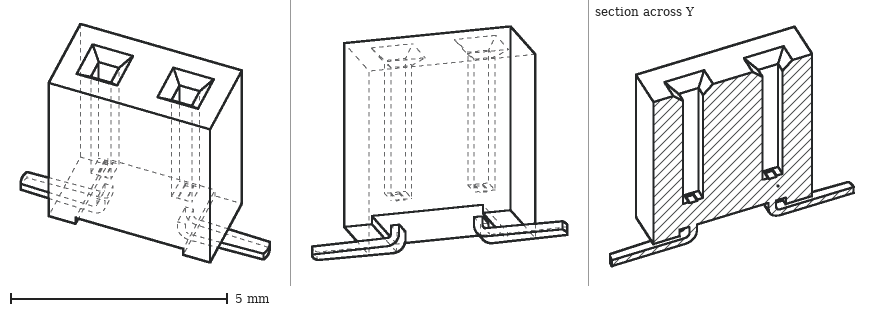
import cadquery as cq


overall_length = 6.1
overall_height = 4.8
pitch = 2.0
housing_length = 2 * pitch
housing_width = pitch
standoff = 0.3
housing_height = overall_height - standoff
foot_length = housing_length / 6
foot_height = 0.2
recess_length = housing_length - 2 * foot_length
recess_ceiling = standoff + foot_height

pocket_mouth = pitch / 2
pocket_size = pitch / 4
lead_in_depth = (pocket_mouth - pocket_size) / 2
pocket_depth = 3.5

lead_thickness = 0.2
lead_width = pocket_size
tip_width = 0.4
tip_radius = 0.5
tip_bulge = tip_radius - (tip_radius**2 - (tip_width / 2) ** 2) ** 0.5
inner_bend_radius = 0.1
outer_bend_radius = inner_bend_radius + lead_thickness
lead_end_x = overall_length / 2
lead_embed = 0.305

cup_depth = 0.035
cup_floor_length = pocket_size - 2 * cup_depth


def make_housing():
    """Block with a recess across its underside that leaves a foot at each end."""
    block = (
        cq.Workplane("XY")
        .workplane(offset=standoff)
        .rect(housing_length, housing_width)
        .extrude(housing_height)
    )
    recess = (
        cq.Workplane("XY")
        .workplane(offset=standoff)
        .rect(recess_length, housing_width)
        .extrude(foot_height)
    )
    return block.cut(recess)


def make_pocket(x):
    """Square pocket with a tapered lead-in and a cupped contact in its floor."""
    floor_z = overall_height - pocket_depth
    shaft = (
        cq.Workplane("XY")
        .workplane(offset=floor_z)
        .center(x, 0)
        .rect(pocket_size, pocket_size)
        .extrude(pocket_depth)
    )
    lead_in = (
        cq.Workplane("XY")
        .workplane(offset=overall_height)
        .center(x, 0)
        .rect(pocket_mouth, pocket_mouth)
        .workplane(offset=-lead_in_depth)
        .rect(pocket_size, pocket_size)
        .loft(combine=True)
    )
    cup = (
        cq.Workplane("YZ")
        .workplane(offset=x - lead_thickness / 2)
        .moveTo(-pocket_size / 2, floor_z)
        .lineTo(-cup_floor_length / 2, floor_z - cup_depth)
        .lineTo(cup_floor_length / 2, floor_z - cup_depth)
        .lineTo(pocket_size / 2, floor_z)
        .close()
        .extrude(lead_thickness)
    )
    return shaft.union(lead_in).union(cup)


def make_right_lead():
    """Strip bent from vertical to horizontal, its tail narrowing to a rounded tip at +X."""
    inner_x = (pitch - lead_thickness) / 2
    outer_x = inner_x + lead_thickness
    tail_x = inner_x + outer_bend_radius
    top_z = recess_ceiling + lead_embed

    side_profile = (
        cq.Workplane("XZ")
        .moveTo(inner_x, top_z)
        .lineTo(inner_x, outer_bend_radius)
        .radiusArc((tail_x, 0), -outer_bend_radius)
        .lineTo(lead_end_x, 0)
        .lineTo(lead_end_x, lead_thickness)
        .lineTo(tail_x, lead_thickness)
        .radiusArc((outer_x, outer_bend_radius), inner_bend_radius)
        .lineTo(outer_x, top_z)
        .close()
        .extrude(lead_width / 2, both=True)
    )
    plan_outline = (
        cq.Workplane("XY")
        .moveTo(inner_x, -lead_width / 2)
        .lineTo(tail_x, -lead_width / 2)
        .lineTo(lead_end_x - tip_bulge, -tip_width / 2)
        .threePointArc((lead_end_x, 0), (lead_end_x - tip_bulge, tip_width / 2))
        .lineTo(tail_x, lead_width / 2)
        .lineTo(inner_x, lead_width / 2)
        .close()
        .extrude(top_z)
    )
    return side_profile.intersect(plan_outline)


right_lead = make_right_lead()
left_lead = right_lead.mirror("YZ")

result = make_housing().union(right_lead).union(left_lead)
for pocket_x in (-pitch / 2, pitch / 2):
    result = result.cut(make_pocket(pocket_x))